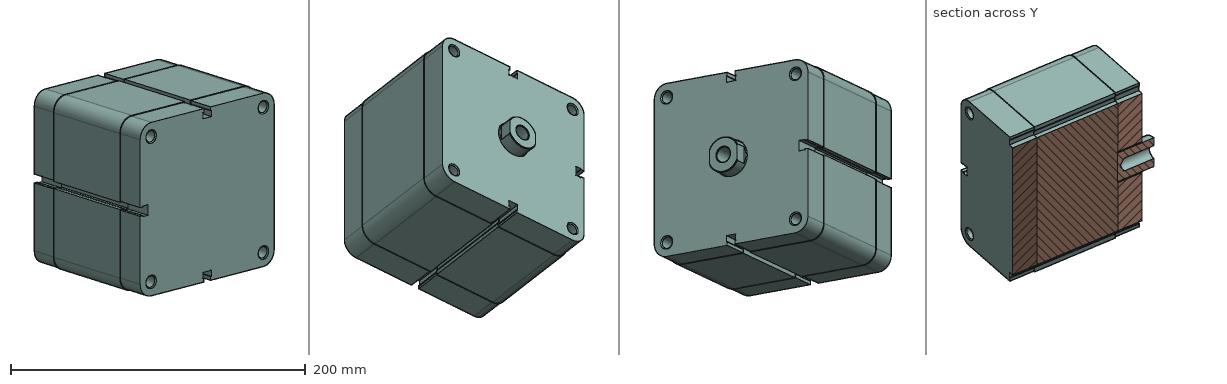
import cadquery as cq
import math

rod_projection = 10.0
cap_length = 20.0
tube_length = 67.0

front_cap_x = rod_projection
tube_x = front_cap_x + cap_length
rear_cap_x = tube_x + tube_length

tube_width = 124.0
cap_width = 123.0
corner_centre = 51.25

hole_spacing = 103.0
hole_diameter = 8.0
hole_mouth_diameter = 9.6

slot_floor = 54.5
cap_slot_floor_width = 7.4
cap_slot_neck_width = 6.2
cap_slot_shoulder = 58.8
tube_slot_inset = 0.55
tube_slot_floor_width = cap_slot_floor_width - 2 * tube_slot_inset
tube_slot_neck_width = cap_slot_neck_width - 2 * tube_slot_inset
tube_slot_shoulder = cap_slot_shoulder - tube_slot_inset
slot_directions = (0, 90, 180)

rod_diameter = 25.0
rod_bore_diameter = 26.0
rod_flats_width = 22.0
rod_flats_length = 9.0
rod_chamfer = 0.5
thread_diameter = 10.6
thread_mouth_diameter = 11.6
thread_depth = 28.0
drill_point_angle = 118.0


def yz_plane(x):
    """Plane square to the cylinder axis: local x is Y, local y is Z, normal is +X."""
    return cq.Workplane("YZ", origin=(x, 0, 0))


def slot_cutter(x, length, mouth, floor_width, neck_width, shoulder):
    """T-slot opening on the +Z side; mouth, shoulder and slot_floor are heights above the axis."""
    return (
        yz_plane(x)
        .polyline([
            (-floor_width / 2, slot_floor),
            (floor_width / 2, slot_floor),
            (floor_width / 2, shoulder),
            (neck_width / 2, shoulder),
            (neck_width / 2, mouth),
            (-neck_width / 2, mouth),
            (-neck_width / 2, shoulder),
            (-floor_width / 2, shoulder),
        ])
        .close()
        .extrude(length)
    )


def make_section(x, length, width, floor_width, neck_width, shoulder):
    """Rounded square block with corner holes and three sensor slots."""
    section = (
        yz_plane(x)
        .rect(width, width)
        .extrude(length)
        .edges("|X")
        .fillet(width / 2 - corner_centre)
    )
    corner_holes = (
        yz_plane(x)
        .rect(hole_spacing, hole_spacing, forConstruction=True)
        .vertices()
        .circle(hole_diameter / 2)
        .extrude(length)
    )
    section = section.cut(corner_holes)
    slot = slot_cutter(x, length, width / 2, floor_width, neck_width, shoulder)
    for angle in slot_directions:
        section = section.cut(slot.rotate((0, 0, 0), (1, 0, 0), angle))
    return section


def mouth_chamfer_cutter(x, inward):
    """Cones that widen the corner holes at the face at x; inward is +1 or -1 along X."""
    depth = (hole_mouth_diameter - hole_diameter) / 2
    cone = cq.Solid.makeCone(
        hole_mouth_diameter / 2, hole_diameter / 2, depth, dir=cq.Vector(inward, 0, 0)
    )
    cones = cq.Workplane("XY")
    for y in (-hole_spacing / 2, hole_spacing / 2):
        for z in (-hole_spacing / 2, hole_spacing / 2):
            cones = cones.add(cone.moved(cq.Location(cq.Vector(x, y, z))))
    return cones.combine()


def make_cap(x, outer_face_x, inward):
    """End cap whose corner holes are chamfered on the outer face."""
    cap = make_section(
        x, cap_length, cap_width, cap_slot_floor_width, cap_slot_neck_width, cap_slot_shoulder
    )
    return cap.cut(mouth_chamfer_cutter(outer_face_x, inward))


def threaded_hole_cutter():
    """Blind hole along X with a chamfered mouth and a drill-point bottom."""
    radius = thread_diameter / 2
    mouth_radius = thread_mouth_diameter / 2
    point_length = radius / math.tan(math.radians(drill_point_angle / 2))
    return (
        cq.Workplane("XY")
        .polyline([
            (0, 0),
            (0, mouth_radius),
            (mouth_radius - radius, radius),
            (thread_depth - point_length, radius),
            (thread_depth, 0),
        ])
        .close()
        .revolve(360, (0, 0, 0), (1, 0, 0))
    )


def make_rod():
    """Piston rod ending at the inner face of the front cap, with two wrench flats."""
    rod = (
        yz_plane(0)
        .circle(rod_diameter / 2)
        .extrude(tube_x)
        .faces("<X")
        .chamfer(rod_chamfer)
    )
    flats_envelope = yz_plane(0).rect(rod_flats_width, rod_diameter).extrude(rod_flats_length)
    shank = yz_plane(rod_flats_length).rect(rod_diameter, rod_diameter).extrude(tube_x - rod_flats_length)
    rod = rod.intersect(flats_envelope.union(shank))
    return rod.cut(threaded_hole_cutter())


front_cap = make_cap(front_cap_x, front_cap_x, inward=1)
front_cap = front_cap.cut(yz_plane(front_cap_x).circle(rod_bore_diameter / 2).extrude(cap_length))

tube = make_section(
    tube_x, tube_length, tube_width, tube_slot_floor_width, tube_slot_neck_width, tube_slot_shoulder
)

rear_cap = make_cap(rear_cap_x, rear_cap_x + cap_length, inward=-1)

rod = make_rod()

result = cq.Compound.makeCompound([
    front_cap.val(),
    tube.val(),
    rear_cap.val(),
    rod.val(),
])